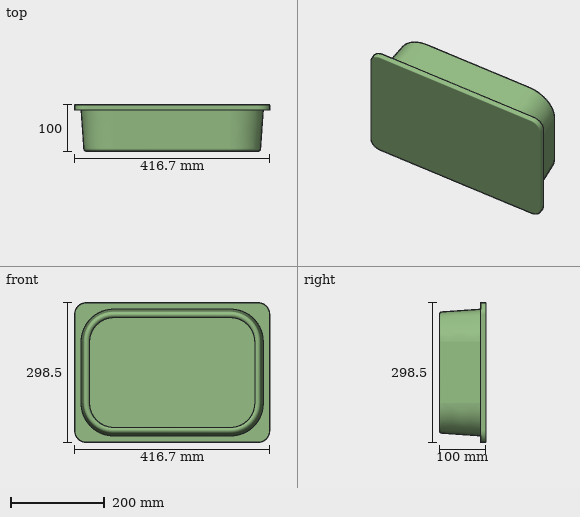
import cadquery as cq
import math

flange_length = 416.7
flange_height = 298.5
flange_thickness = 11.5
flange_corner_radius = 25
flange_back_fillet = 2.0

overall_depth = 100
body_length = 389.2
body_height = 271
body_corner_radius = 70.0
wall_taper_angle = 4

bead_radius = 6.3

rim_width = 41.5
core_inset = rim_width / 2

foot_y = -flange_thickness
crest_y = -overall_depth
floor_y = crest_y + bead_radius

taper = math.radians(wall_taper_angle)
wall_end_y = floor_y - bead_radius * math.sin(taper)
wall_end_inset = (foot_y - wall_end_y) * math.tan(taper)
crest_inset = wall_end_inset + bead_radius * math.cos(taper)
floor_inset = crest_inset + bead_radius


def rounded_plate(start_y, end_y, length, height, corner_radius):
    """Rounded rectangle centred on the Y axis, extruded from start_y to end_y."""
    plane = cq.Workplane("XZ", origin=(0, start_y, 0))
    return plane.rect(length, height).extrude(start_y - end_y).edges("|Y").fillet(corner_radius)


def make_flange():
    plate = rounded_plate(0, foot_y, flange_length, flange_height, flange_corner_radius)
    return plate.faces(">Y").edges().fillet(flange_back_fillet)


def make_core():
    """Middle of the body, overlapping the rim and ending at the sunken floor."""
    return rounded_plate(
        foot_y,
        floor_y,
        body_length - 2 * core_inset,
        body_height - 2 * core_inset,
        body_corner_radius - core_inset,
    )


def make_rim():
    """Tapered wall and bead, swept around the foot of the body."""
    foot = rounded_plate(foot_y, floor_y, body_length, body_height, body_corner_radius)
    path = foot.faces(">Y").wires()
    top_z = body_height / 2
    section = (
        cq.Workplane("YZ")
        .moveTo(foot_y, top_z)
        .lineTo(wall_end_y, top_z - wall_end_inset)
        .tangentArcPoint((crest_y, top_z - crest_inset), relative=False)
        .tangentArcPoint((floor_y, top_z - floor_inset), relative=False)
        .lineTo(floor_y, top_z - rim_width)
        .lineTo(foot_y, top_z - rim_width)
        .close()
    )
    return section.sweep(path)


result = make_flange().union(make_core()).union(make_rim())